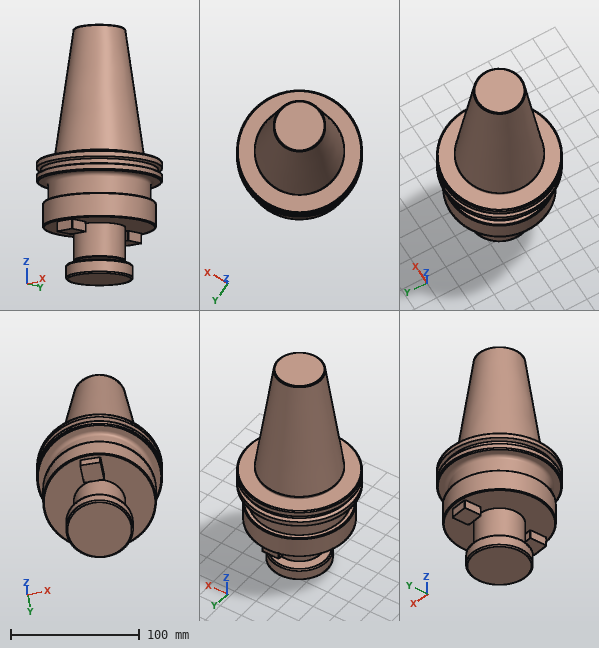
import cadquery as cq
import math

total_height = 197.8
head_top = 11.0
pilot_bottom = 14.0
collar_bottom = 41.0
collar_top = 60.1
flange_bottom = 77.0
flange_top = 92.7
gauge_height = 96.0

head_diameter = 52.0
screw_diameter = 20.0
pilot_diameter = 40.1
collar_diameter = 87.8
body_diameter = 79.7
flange_diameter = 97.5
groove_floor_diameter = 91.4
relief_diameter = 68.8
gauge_diameter = 69.8

body_radius = body_diameter / 2
relief_radius = relief_diameter / 2
gauge_radius = gauge_diameter / 2

taper_slope = 7 / 24 / 2
taper_top_radius = gauge_radius - taper_slope * (total_height - gauge_height)

groove_center = 84.8
groove_floor_width = 3.5
groove_mouth_width = 6.0

head_chamfer = 1.2
pilot_chamfer = 0.5
collar_chamfer = 0.8
flange_chamfer = 1.0
relief_chamfer_height = 1.0
taper_top_chamfer = 0.8
body_fillet = 3.0
relief_fillet = 0.5

key_width = 16.0
key_length = 16.0
key_drop = 7.7
key_embed = 4.0
key_center = 32.0
key_chamfer = 0.5


def cylinder(diameter, bottom, top):
    return cq.Workplane("XY").workplane(offset=bottom).circle(diameter / 2).extrude(top - bottom)


def make_screw():
    """Clamping screw: a chamfered disc head on a short visible shank."""
    head = cylinder(head_diameter, 0, head_top).edges().chamfer(head_chamfer)
    return head.union(cylinder(screw_diameter, 0, pilot_bottom))


def make_arbor():
    """Pilot spigot and the wide collar it stands on."""
    pilot = cylinder(pilot_diameter, pilot_bottom, collar_bottom).faces("<Z").edges().chamfer(pilot_chamfer)
    collar = cylinder(collar_diameter, collar_bottom, collar_top).edges().chamfer(collar_chamfer)
    return pilot.union(collar)


def make_body():
    """Cylinder between collar and flange, flared into the flange by a concave arc."""
    arc_center_radius = body_radius + body_fillet
    arc_center_height = flange_bottom - body_fillet
    diagonal = body_fillet * math.cos(math.radians(45))
    return (
        cq.Workplane("XZ")
        .moveTo(0, collar_top)
        .lineTo(body_radius, collar_top)
        .lineTo(body_radius, arc_center_height)
        .threePointArc(
            (arc_center_radius - diagonal, arc_center_height + diagonal),
            (arc_center_radius, flange_bottom),
        )
        .lineTo(0, flange_bottom)
        .close()
        .revolve(360, (0, 0), (0, 1))
    )


def make_flange():
    """Gripper flange with a V-groove around its rim."""
    flange = cylinder(flange_diameter, flange_bottom, flange_top).edges().chamfer(flange_chamfer)
    flange_radius = flange_diameter / 2
    groove_floor_radius = groove_floor_diameter / 2
    half_mouth = groove_mouth_width / 2
    half_floor = groove_floor_width / 2
    groove = (
        cq.Workplane("XZ")
        .moveTo(flange_radius, groove_center - half_mouth)
        .lineTo(groove_floor_radius, groove_center - half_floor)
        .lineTo(groove_floor_radius, groove_center + half_floor)
        .lineTo(flange_radius, groove_center + half_mouth)
        .close()
        .revolve(360, (0, 0), (0, 1))
    )
    return flange.cut(groove)


def make_taper():
    """Relief neck, blended into the flange by a concave arc, and the long cone above the gauge line."""
    arc_center_radius = relief_radius + relief_fillet
    arc_center_height = flange_top + relief_fillet
    diagonal = relief_fillet * math.cos(math.radians(45))
    return (
        cq.Workplane("XZ")
        .moveTo(0, flange_top)
        .lineTo(arc_center_radius, flange_top)
        .threePointArc(
            (arc_center_radius - diagonal, arc_center_height - diagonal),
            (relief_radius, arc_center_height),
        )
        .lineTo(relief_radius, gauge_height - relief_chamfer_height)
        .lineTo(gauge_radius, gauge_height)
        .lineTo(taper_top_radius, total_height)
        .lineTo(0, total_height)
        .close()
        .revolve(360, (0, 0), (0, 1))
        .faces(">Z")
        .edges()
        .chamfer(taper_top_chamfer)
    )


def make_keys():
    """Two drive keys on opposite sides of the collar face, along Y."""
    return (
        cq.Workplane("XY")
        .workplane(offset=collar_bottom - key_drop)
        .pushPoints([(0, -key_center), (0, key_center)])
        .rect(key_width, key_length)
        .extrude(key_drop + key_embed)
        .edges("|Z")
        .chamfer(key_chamfer)
    )


result = make_screw()
for section in (make_arbor(), make_body(), make_flange(), make_taper(), make_keys()):
    result = result.union(section)